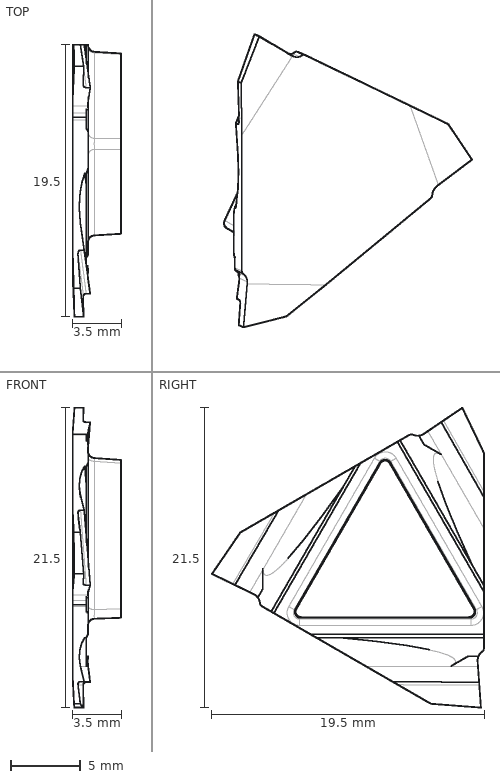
import cadquery as cq
import math


CORNERS = 3
TURN = 360 / CORNERS
REACH = 43.05

overall_height = 21.53
overall_thickness = 3.5

side_distance = 7.1
side_start_z = -6.1
side_end_z = 7.9
tip_lift = 0.39
tip_y = overall_height / (2 * math.sqrt(3)) - tip_lift * math.sqrt(3)
tip_z = overall_height / 2 + tip_lift
notch_start = (2.71, 9.24)
notch_mid = (2.52, 9.17)
notch_end = (2.22, 9.15)
notch_lip = (1.9, 9.25)

edge_level = 1.0
pad_level = 1.12
pad_distance = 5.35
pad_wall_angle = 60.0
corner_block_level = 1.72
corner_block_distance = 6.67

fold_side_z = 4.1
fold_inner = (2.85, 9.32)
clearance_angle = 2.3

rake_slope = 0.14
rake_angle = 60
rake_level_distance = 9.69
groove_angle = 30
groove_distance = 7.38
groove_radius = 2.8

step_side_z = 4.72
step_inner = (4.03, 10.12)
step_side_level = 0.37
step_corner_level = 0.55
step_tip_level = 0.8
step_foot_fillet = 0.2

boss_corner_distance = 7.13
boss_corner_radius = 0.45
boss_taper = 2.0
boss_root_fillet = 0.45
boss_rim_chamfer = 0.06


def turned(point, index):
    """Turn a (Y, Z) point to another corner."""
    angle = math.radians(index * TURN)
    y, z = point
    return (
        y * math.cos(angle) - z * math.sin(angle),
        y * math.sin(angle) + z * math.cos(angle),
    )


def at_each_corner(shape):
    """Copy a top-corner shape to all corners."""
    copies = [shape.rotate((0, 0, 0), (1, 0, 0), i * TURN) for i in range(CORNERS)]
    joined = copies[0]
    for copy in copies[1:]:
        joined = joined.union(copy)
    return joined


def direction(angle):
    """Unit vector in the plate plane, from +Y towards +Z."""
    return cq.Vector(0, math.cos(math.radians(angle)), math.sin(math.radians(angle)))


def half_space(origin, normal):
    """Large block on the side of a plane that its normal points to."""
    plane = cq.Plane(origin=origin.toTuple(), normal=normal.toTuple())
    return cq.Workplane(plane).rect(REACH, REACH).extrude(REACH)


def outline_prism(height):
    """Plate outline extruded from the back face."""
    side_start = (side_distance, side_start_z)
    sketch = cq.Workplane("YZ").moveTo(*side_start)
    for i in range(CORNERS):
        if i > 0:
            sketch = sketch.lineTo(*turned(side_start, i))
        sketch = sketch.lineTo(*turned((side_distance, side_end_z), i))
        sketch = sketch.lineTo(*turned((tip_y, tip_z), i))
        sketch = sketch.lineTo(*turned(notch_start, i))
        sketch = sketch.threePointArc(turned(notch_mid, i), turned(notch_end, i))
        sketch = sketch.lineTo(*turned(notch_lip, i))
    return sketch.close().extrude(height)


def triangle(level, corner_distance):
    """Triangle on a given level with one corner straight above the axis."""
    corners = [turned((0, corner_distance), i) for i in range(CORNERS)]
    return cq.Workplane("YZ", origin=(level, 0, 0)).polyline(corners).close()


def pad():
    """Low pad with sloping walls that carries the boss."""
    corner_distance = 2 * pad_distance
    height = pad_level - edge_level
    return triangle(edge_level, corner_distance).extrude(height, taper=pad_wall_angle)


def corner_block():
    """Corner stock that stands above the plate where the rake face is higher than it."""
    uphill = direction(rake_angle)
    start = rake_level_distance - (pad_level - edge_level) / rake_slope
    across = direction(groove_angle)
    stock = outline_prism(corner_block_level).intersect(half_space(uphill * start, uphill))
    return stock.intersect(half_space(across * corner_block_distance, across))


def rake_cutter():
    """Everything above the rake face, rounded off along the groove."""
    uphill = direction(rake_angle)
    across = direction(groove_angle)
    along = direction(groove_angle + 90)
    normal = (cq.Vector(1, 0, 0) - uphill * rake_slope).normalized()
    level_point = uphill * rake_level_distance + cq.Vector(pad_level, 0, 0)

    foot = across * groove_distance
    foot_level = pad_level + rake_slope * (foot.dot(uphill) - rake_level_distance)
    center = foot + cq.Vector(foot_level, 0, 0) + normal * groove_radius
    axis = (along + cq.Vector(rake_slope * along.dot(uphill), 0, 0)).normalized()
    groove_plane = cq.Plane(origin=(center - axis * (REACH / 2)).toTuple(), normal=axis.toTuple())
    groove = cq.Workplane(groove_plane).circle(groove_radius).extrude(REACH)

    downstream = axis.cross(normal)
    above_rake = half_space(level_point, normal).intersect(half_space(center, downstream))
    return above_rake.union(groove).intersect(half_space(across * pad_distance, across))


def step_cutter():
    """Everything outside the step and above the lowered face of the tip."""
    at_side = cq.Vector(step_side_level, side_distance, step_side_z)
    at_corner = cq.Vector(step_corner_level, side_distance, side_end_z)
    at_tip = cq.Vector(step_tip_level, tip_y, tip_z)
    floor_normal = (at_corner - at_side).cross(at_tip - at_side).normalized()

    step_line = cq.Vector(0, step_inner[0] - side_distance, step_inner[1] - step_side_z)
    wall_normal = step_line.cross(cq.Vector(1, 0, 0)).normalized()
    block = half_space(at_side, floor_normal).intersect(half_space(at_side, wall_normal))
    foot = cq.selectors.NearestToPointSelector(at_side.toTuple())
    return block.edges(foot).fillet(step_foot_fillet)


def clearance_cutter():
    """Wedge that lifts the back of the corner beyond the fold line."""
    fold_point = cq.Vector(0, side_distance, fold_side_z)
    fold_line = cq.Vector(0, fold_inner[0] - side_distance, fold_inner[1] - fold_side_z)
    outward = fold_line.cross(cq.Vector(1, 0, 0)).normalized()
    angle = math.radians(clearance_angle)
    return half_space(fold_point, outward * math.sin(angle) - cq.Vector(math.cos(angle), 0, 0))


def boss():
    """Tapered triangular boss with rounded corners and a chamfered rim."""
    height = overall_thickness - pad_level
    sharp_distance = boss_corner_distance + 2 * boss_corner_radius
    block = triangle(pad_level, sharp_distance).extrude(height, taper=boss_taper)
    rounded = block.edges("not #X").fillet(boss_corner_radius)
    return rounded.faces(">X").chamfer(boss_rim_chamfer)


def layer(bottom, top):
    """Wide slab between two levels."""
    return cq.Workplane("YZ", origin=(bottom, 0, 0)).rect(REACH, REACH).extrude(top - bottom)


def plate_with_boss():
    """Plate with the boss on its pad, blended at the root and trimmed to the outline."""
    half_box = overall_height / 2
    root_edges = cq.selectors.BoxSelector(
        (edge_level, -half_box, -half_box),
        (pad_level + boss_root_fillet, half_box, half_box),
    )
    blended = layer(0, pad_level).union(boss()).edges(root_edges).fillet(boss_root_fillet)
    around_pad = layer(edge_level, pad_level).cut(pad())
    return blended.cut(around_pad).intersect(outline_prism(overall_thickness))


result = plate_with_boss().union(at_each_corner(corner_block()))
for cutter in (rake_cutter(), step_cutter(), clearance_cutter()):
    for corner in range(CORNERS):
        result = result.cut(cutter.rotate((0, 0, 0), (1, 0, 0), corner * TURN))